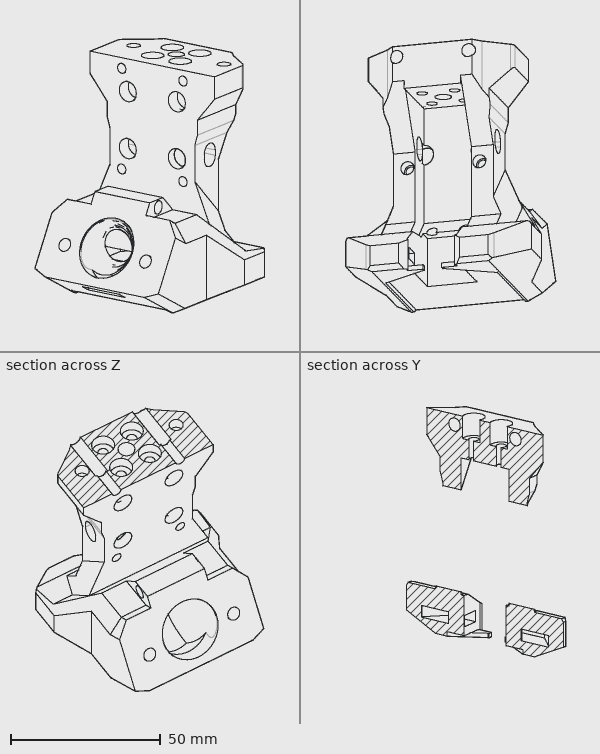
import cadquery as cq
import math


height = 79.35
base_width = 65.0
leg_end_y = 30.1
nose_y = -33.2
far = 47.6

fan_tilt = math.radians(30)
rise_per_run = math.tan(fan_tilt)
nose_bend_y = -16.7
nose_z = (nose_bend_y - nose_y) * rise_per_run
crest_z = 37.05
crest_y = nose_y + (crest_z - nose_z) * rise_per_run
ramp_sum = 27.4
shelf_front_z = 16.9
shelf_back_y = 20.5
shelf_back_z = 15.6
leg_end_top_z = 8.7
leg_toe_length = 1.35
leg_toe_height = 1.75

fan_half_width = 25.4
waist_y = -4.45
flank_front_y = 7.5
flank_back_y = 19.2
leg_corner_x = 22.4
leg_corner_y = 28.8
leg_end_x = 20.6

under_chamfer_x = 20.4
under_chamfer_slope = 0.49
top_chamfer_foot_z = 61.9
top_chamfer_slope = 1.45

crest_half_width = 11.3
shoulder_z = 31.4
shoulder_front_y = -16.35
crest_hole_d = 4.5
crest_hole_y = -12.4
crest_hole_z = 34.3

inlet_d = 21.0
inlet_depth = 7.15
inlet_z = 21.5
duct_start_d = 20.7
duct_start_depth = 0.3
duct_end_x = 20.6
duct_end_y = 9.5
duct_end_z = 9.9
duct_end_half_width = 5.55
duct_end_half_height = 5.55
leg_passage_bottom_z = 4.8
leg_passage_top_z = 8.7
leg_passage_front_y = 18.25
leg_passage_back_y = 24.6
fan_screw_d = 4.5
fan_screw_x = 16.6
fan_screw_z = 19.9
fan_screw_depth = 7.9

clip_notch_width = 15.1
clip_notch_z = 5.55
clip_notch_height = 2.0
vent_height = 1.6
vent_half_width = 19.5
vent_throat_x = 3.8
vent_gap_x = 3.25
vent_throat_y = 24.8
vent_wall_slope = 0.58
lip_back_y = 26.35

opening_half_width = 8.65
leg_tip_x = 8.1
leg_tip_y = 27.5
leg_tip_step = 0.55
leg_tip_chamfer = leg_end_y - leg_tip_y

column_depth = 13.7
head_half_width = 25.6
head_depth = 26.4
head_side_z = 71.6
neck_half_width = 18.6
neck_top_z = 63.0
neck_bottom_z = 57.8
stem_half_width = 17.45
stem_top_z = 53.95
back_slope_start_z = 45.9
back_slope_run_per_rise = 0.6
column_root_z = 7.9
foot_z = 21.3
foot_depth = column_depth + foot_z - shelf_back_z
flare_top_z = 41.35
flare_half_width = 23.5
flare_bottom_z = 23.8
head_back_half_width = 13.9
head_bend_x = 16.5
head_bend_y = 23.65
head_side_depth = 16.8
head_corner_radius = 2.4

channel_half_width = 9.8
channel_front_y = 3.5
channel_top_z = 64.3
side_slot_width = 6.3
side_slot_height = 8.1
side_slot_y = 8.65
side_slot_z = 48.6

carriage_screw_spacing = 25.15
carriage_screw_x = carriage_screw_spacing / 2
carriage_screw_d = 3.4
carriage_screw_head_d = 4.5
carriage_screw_grip = 9.5
carriage_screw_zs = (40.5, 75.6)
socket_d = 7.0
socket_x = 10.1
socket_depth = 5.15
socket_zs = (48.0, 67.9)
head_axis_y = 13.8
mount_spacing = 11.35
mount_offset = mount_spacing / 2
mount_d = 3.5
mount_head_d = 7.5
mount_head_depth = 7.9
centre_hole_d = 5.5
dowel_d = 4.5
dowel_spacing = 37.1
dowel_offset_x = 1.0
dowel_depth = 7.9


def across(points, half_width):
    """Prism of a (y, z) outline, centred on the width."""
    return cq.Workplane("YZ").polyline(points).close().extrude(half_width, both=True)


def mirrored_prism(plane, half_outline, length):
    """Prism of a half outline completed by its mirror image in x = 0."""
    mirror = [(-x, v) for x, v in reversed(half_outline)]
    return cq.Workplane(plane).polyline(half_outline + mirror).close().extrude(length)


def slanted_prism(section, start, travel):
    """Prism of an (x, z) section at depth start, swept in a straight line by travel."""
    wire = cq.Wire.makePolygon([cq.Vector(x, start, z) for x, z in section], close=True)
    return cq.Workplane(cq.Solid.extrudeLinear(wire, [], cq.Vector(*travel)))


def both_sides(body):
    return body.union(body.mirror("YZ"))


def drill(plane, points, diameter, depth):
    return cq.Workplane(plane).pushPoints(points).circle(diameter / 2).extrude(depth)


def pair(x, v):
    return [(-x, v), (x, v)]


def base_body():
    profile = [
        (nose_bend_y, 0),
        (nose_y, nose_z),
        (crest_y, crest_z),
        (ramp_sum - crest_z, crest_z),
        (ramp_sum - shelf_front_z, shelf_front_z),
        (shelf_back_y, shelf_back_z),
        (leg_end_y, leg_end_top_z),
        (leg_end_y, leg_toe_height),
        (leg_end_y - leg_toe_length, 0),
    ]
    plan = [
        (fan_half_width, nose_y),
        (fan_half_width, waist_y),
        (base_width / 2, flank_front_y),
        (base_width / 2, flank_back_y),
        (leg_corner_x, leg_corner_y),
        (leg_end_x, leg_end_y),
    ]
    return across(profile, base_width / 2).intersect(mirrored_prism("XY", plan, height))


def flank_chamfers():
    """Wedges off the long edges; ahead of the bends they climb parallel to the nose."""
    under = [
        (under_chamfer_x, 0),
        (under_chamfer_x + far, under_chamfer_slope * far),
        (under_chamfer_x + far, -far),
        (under_chamfer_x, -far),
    ]
    top = [
        (0, top_chamfer_foot_z),
        (far, top_chamfer_foot_z - top_chamfer_slope * far),
        (far, top_chamfer_foot_z),
    ]
    ahead = (0, -far, far * rise_per_run)
    wedges = slanted_prism(under, nose_bend_y, (0, far * 2, 0))
    for section, start in ((under, nose_bend_y), (top, shoulder_front_y)):
        wedges = wedges.union(slanted_prism(section, start, ahead))
    wedges = wedges.union(slanted_prism(top, shoulder_front_y, (0, far * 2, 0)))
    return both_sides(wedges)


def shoulders():
    profile = [
        (ramp_sum - shoulder_z, shoulder_z),
        (shoulder_front_y, shoulder_z),
        (shoulder_front_y - far, shoulder_z + far * rise_per_run),
        (ramp_sum - shoulder_z - far, shoulder_z + far),
    ]
    return across(profile, far).cut(cq.Workplane().box(2 * crest_half_width, 4 * far, 4 * far))


def fan_face_plane(z):
    """Plane on the fan face at height z, its normal pointing into the base."""
    y = nose_y + (z - nose_z) * rise_per_run
    inward = (0, math.cos(fan_tilt), -math.sin(fan_tilt))
    return cq.Plane(origin=(0, y, z), xDir=(1, 0, 0), normal=inward)


def fan_openings():
    inlet_plane = fan_face_plane(inlet_z)
    openings = cq.Workplane(inlet_plane).circle(inlet_d / 2).extrude(inlet_depth)
    screws = drill(fan_face_plane(fan_screw_z), pair(fan_screw_x, 0), fan_screw_d, fan_screw_depth)
    return openings.union(screws)


def ducts():
    """Two ducts that fork from the inlet and run to the left and right legs."""
    start_plane = cq.Workplane(fan_face_plane(inlet_z)).workplane(offset=duct_start_depth)
    start = start_plane.circle(duct_start_d / 2)
    end_plane = cq.Plane(origin=(duct_end_x, duct_end_y, duct_end_z), xDir=(1, 0, 0), normal=(0, 1, 0))
    end = cq.Workplane(end_plane).ellipse(duct_end_half_width, duct_end_half_height)
    duct = cq.Solid.makeLoft([start.ctx.pendingWires[0], end.ctx.pendingWires[0]])
    return both_sides(cq.Workplane(duct))


def leg_passages():
    """Flat passages that carry the ducts round through the legs to the opening."""
    inner_x = duct_end_x - duct_end_half_width
    outer_x = duct_end_x + duct_end_half_width
    outline = [
        (inner_x, duct_end_y),
        (outer_x, duct_end_y),
        (outer_x, leg_passage_front_y),
        (outer_x + leg_passage_front_y - leg_passage_back_y, leg_passage_back_y),
        (leg_tip_x, leg_passage_back_y),
        (leg_tip_x, leg_passage_front_y),
        (inner_x, leg_passage_front_y),
    ]
    plane = cq.Workplane("XY", origin=(0, 0, leg_passage_bottom_z))
    return both_sides(plane.polyline(outline).close().extrude(leg_passage_top_z - leg_passage_bottom_z))


def clip_notch():
    """Step in the rising underside with an upright back wall."""
    back_y = nose_bend_y - clip_notch_z / rise_per_run
    notch = cq.Workplane().box(clip_notch_width, far, clip_notch_height, centered=(True, False, False))
    return notch.translate((0, back_y - far, clip_notch_z))


def vent():
    """Shallow recess under the base, narrowing to the gap between the legs."""
    outline = [
        (vent_half_width, nose_y),
        (vent_half_width, vent_throat_y - vent_wall_slope * (vent_half_width - vent_throat_x)),
        (vent_throat_x, vent_throat_y),
        (vent_gap_x, vent_throat_y),
        (vent_gap_x, lip_back_y),
    ]
    return mirrored_prism("XY", outline, vent_height)


def leg_opening():
    """Opening between the legs; a thin lip is left under its rear part."""
    outline = [
        (opening_half_width, channel_front_y),
        (opening_half_width, leg_tip_y - leg_tip_step),
        (leg_tip_x, leg_tip_y),
        (leg_tip_x + leg_tip_chamfer, leg_end_y),
    ]
    opening = mirrored_prism("XY", outline, shelf_front_z + vent_height)
    lip_plan = [
        (base_width, vent_throat_y - vent_wall_slope * (base_width - vent_throat_x)),
        (vent_throat_x, vent_throat_y),
        (vent_gap_x, vent_throat_y),
        (vent_gap_x, lip_back_y),
        (base_width, lip_back_y),
    ]
    lip = cq.Workplane("XY").polyline(lip_plan).close().extrude(vent_height)
    return opening.cut(both_sides(lip))


def column_side_profile():
    back_slope_run = (height - back_slope_start_z) * back_slope_run_per_rise
    profile = [
        (0, height),
        (column_depth + back_slope_run, height),
        (column_depth, back_slope_start_z),
        (column_depth, foot_z),
        (foot_depth, shelf_back_z),
        (foot_depth, column_root_z),
        (0, column_root_z),
    ]
    return across(profile, far)


def column_body():
    front = [
        (head_half_width, height),
        (head_half_width, head_side_z),
        (neck_half_width, neck_top_z),
        (neck_half_width, neck_bottom_z),
        (stem_half_width, stem_top_z),
        (stem_half_width, column_root_z),
    ]
    stem = mirrored_prism("XZ", front, -far)
    flare_half = [
        (stem_half_width, flare_top_z),
        (flare_half_width, ramp_sum),
        (flare_half_width, flare_bottom_z),
    ]
    flare_section = flare_half + [(-x, z) for x, z in reversed(flare_half)]
    flare = slanted_prism(flare_section, 0, (0, foot_depth, -foot_depth))
    plan = [
        (head_half_width, 0),
        (head_half_width, head_side_depth),
        (head_bend_x, head_bend_y),
        (head_back_half_width, head_depth),
    ]
    head_outline = mirrored_prism("XY", plan, height)
    corners = cq.selectors.BoxSelector(
        (-far, head_side_depth - 0.8, -0.8), (far, head_side_depth + 0.8, height + 0.8)
    )
    head_outline = head_outline.edges("|Z").edges(corners).fillet(head_corner_radius)
    return stem.union(flare).intersect(column_side_profile()).intersect(head_outline)


def channel():
    """Passage up the back of the column, closed above by the head."""
    size = (2 * channel_half_width, far, channel_top_z - shelf_back_z)
    block = cq.Workplane().box(*size, centered=(True, False, False))
    return block.translate((0, channel_front_y, shelf_back_z))


def head_centre():
    """Middle of the head, full depth down to the top of the channel."""
    size = (2 * channel_half_width, head_depth, height - channel_top_z)
    return cq.Workplane().box(*size, centered=(True, False, False)).translate((0, 0, channel_top_z))


def side_slot():
    sketch = cq.Workplane("YZ").center(side_slot_y, side_slot_z)
    return sketch.slot2D(side_slot_height, side_slot_width, 90).extrude(far, both=True)


def column_holes():
    screw_points = [p for z in carriage_screw_zs for p in pair(carriage_screw_x, z)]
    socket_points = [p for z in socket_zs for p in pair(socket_x, z)]
    holes = drill("XZ", screw_points, carriage_screw_d, -far)
    heads = drill("XZ", screw_points, carriage_screw_head_d, -far)
    holes = holes.union(heads.translate((0, carriage_screw_grip, 0)))
    return holes.union(drill("XZ", socket_points, socket_d, -socket_depth))


def head_holes():
    top = cq.Workplane("XY", origin=(0, head_axis_y, height))
    mounts = [p for v in (-mount_offset, mount_offset) for p in pair(mount_offset, v)]
    holes = top.pushPoints(mounts).circle(mount_d / 2).extrude(-height)
    holes = holes.union(top.pushPoints(mounts).circle(mount_head_d / 2).extrude(-mount_head_depth))
    holes = holes.union(top.circle(centre_hole_d / 2).extrude(-height))
    dowels = top.center(dowel_offset_x, 0).pushPoints(pair(dowel_spacing / 2, 0))
    return holes.union(dowels.circle(dowel_d / 2).extrude(-dowel_depth))


base = base_body().cut(flank_chamfers()).cut(shoulders())
base = base.cut(drill("YZ", [(crest_hole_y, crest_hole_z)], crest_hole_d, far))
base = base.cut(drill("YZ", [(crest_hole_y, crest_hole_z)], crest_hole_d, -far))
column = column_body().cut(channel()).union(head_centre()).cut(side_slot())

result = base.union(column)
for opening in (fan_openings(), ducts(), leg_passages(), clip_notch(), vent(), leg_opening()):
    result = result.cut(opening)
for holes in (column_holes(), head_holes()):
    result = result.cut(holes)
result = result.solids()